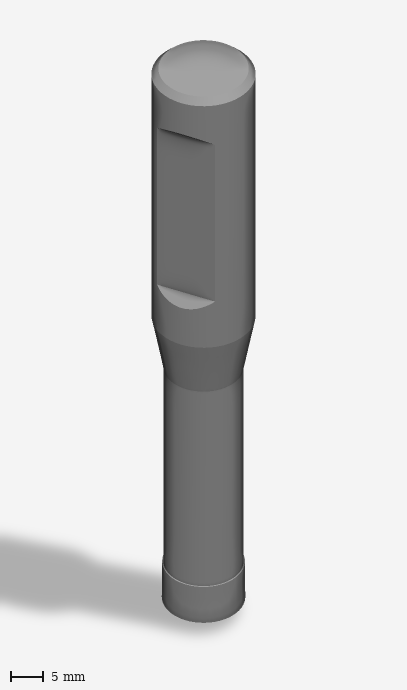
import cadquery as cq
import math

total_length = 105.0

shank_diameter = 15.9
shank_bottom_z = 57.0
top_chamfer = 1.0

neck_diameter = 12.2
neck_top_z = 47.0

flat_depth = 1.7
flat_bottom_z = 65.8
flat_top_z = 96.3

tip_top_z = 9.2
tip_top_diameter = 12.6
tip_edge_diameter = 12.7
point_angle = 20.0

shank_radius = shank_diameter / 2
neck_radius = neck_diameter / 2
tip_top_radius = tip_top_diameter / 2
tip_edge_radius = tip_edge_diameter / 2
point_height = tip_edge_radius * math.tan(math.radians(point_angle))


def revolve_profile(points):
    """Revolve a closed outline of (radius, z) points about the Z axis."""
    return (
        cq.Workplane("XZ")
        .polyline(points)
        .close()
        .revolve(360, (0, 0, 0), (0, 1, 0))
    )


def make_flat_cutter():
    """Trapezoidal prism along X that cuts the flat and its two end ramps."""
    outer_y = -shank_radius
    floor_y = outer_y + flat_depth
    return (
        cq.Workplane("YZ")
        .polyline([
            (floor_y, flat_bottom_z),
            (floor_y, flat_top_z),
            (outer_y, flat_top_z + flat_depth),
            (outer_y, flat_bottom_z - flat_depth),
        ])
        .close()
        .extrude(shank_radius, both=True)
    )


def make_shank():
    """Chamfered shank, cone and neck in one piece, with the clamping flat cut in."""
    body = revolve_profile([
        (0, tip_top_z),
        (neck_radius, tip_top_z),
        (neck_radius, neck_top_z),
        (shank_radius, shank_bottom_z),
        (shank_radius, total_length - top_chamfer),
        (shank_radius - top_chamfer, total_length),
        (0, total_length),
    ])
    return body.cut(make_flat_cutter())


def make_cutting_tip():
    """Back-tapered, pointed tip that butts against the end of the neck."""
    return revolve_profile([
        (0, 0),
        (tip_edge_radius, point_height),
        (tip_top_radius, tip_top_z),
        (0, tip_top_z),
    ])


shank = make_shank()
cutting_tip = make_cutting_tip()

result = cq.Compound.makeCompound([shank.val(), cutting_tip.val()])